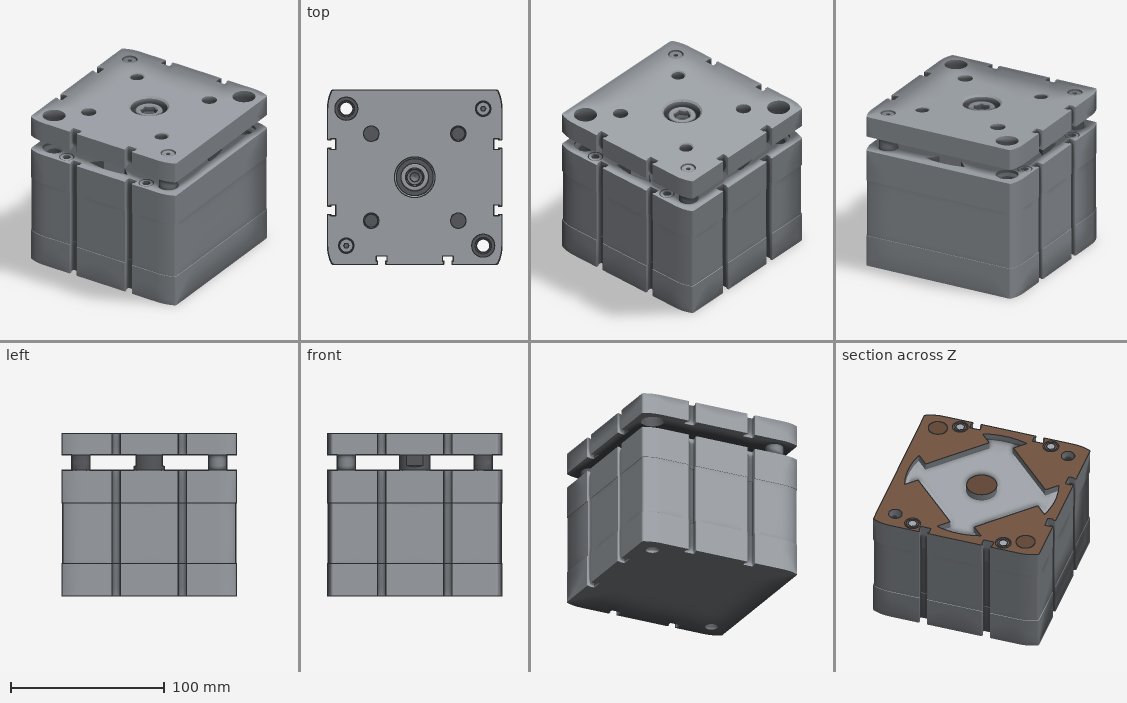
import cadquery as cq
import math

WIDTH = 113.5
HOUSING_HEIGHT = 81.8
CAP_HEIGHT = 21.3
BARREL_INSET = 0.4
PLATE_GAP = 10.0
PLATE_THICKNESS = 14.0
PLATE_BOTTOM = HOUSING_HEIGHT + PLATE_GAP
PLATE_TOP = PLATE_BOTTOM + PLATE_THICKNESS

CORNER_START = 44.5
CORNER_RADIUS = 27.0
CORNER_FILLET = 1.7

SLOT_OFFSET = 21.5
SLOT_DEPTH = 5.4
SLOT_WIDTH = 6.8
SLOT_NECK_WIDTH = 5.2
SLOT_NECK_DEPTH = 1.8
SLOT_MOUTH_CHAMFER = 0.25

CORNER_PITCH = 44.5
TAP_PITCH = 40.0 / math.sqrt(2)
ROD_CORNERS = [(CORNER_PITCH, CORNER_PITCH), (-CORNER_PITCH, -CORNER_PITCH),
               (CORNER_PITCH, -CORNER_PITCH), (-CORNER_PITCH, CORNER_PITCH)]
SCREWED_CORNERS = ROD_CORNERS[:2]
BOLT_CORNERS = ROD_CORNERS[2:]

PISTON_ROD_DIAMETER = 20.0
ROD_FLAT_WIDTH = 17.0
ROD_FLAT_BOTTOM = HOUSING_HEIGHT + 3.1
ROD_FLAT_RUNOUT_ANGLE = 30.0
GUIDE_ROD_DIAMETER = 12.0
GUIDE_MOUTH_DIAMETER = 14.0
ROD_BOTTOM = CAP_HEIGHT

ACCESS_DIAMETER = 15.0
PIN_HOLE_DIAMETER = 10.0
TAP_DIAMETER = 8.5
TAP_MOUTH_DIAMETER = 10.0

CENTER_RECESS_DIAMETER = 24.0
CENTER_RECESS_DEPTH = 12.0
CENTER_RECESS_CHAMFER = 1.2
CENTER_HEAD_DIAMETER = 18.0
CENTER_HEAD_FACE_DIAMETER = 15.8
CENTER_HEAD_SINK = 2.7
CENTER_HEX_SIZE = 10.0
CENTER_HEX_MOUTH_DIAMETER = 12.0
CENTER_HEX_DEPTH = 4.2
CENTER_DRILL_DIAMETER = 6.0
CENTER_DRILL_DEPTH = 0.5
DRILL_CONE_ANGLE = 30.0

SCREW_RECESS_DIAMETER = 10.0
SCREW_RECESS_DEPTH = 6.0
SCREW_HEAD_DIAMETER = 8.57
GUIDE_SCREW_SINK = 0.8
GUIDE_SCREW_HEX = 3.0
CAP_SCREW_X = 50.0
CAP_SCREW_Y = 31.0
CAP_SCREW_SINK = 0.2
CAP_SCREW_HEX = 5.0
HEX_DEPTH = 3.0
HEX_TURN = 30.0

TOP_RECESS_DIAMETER = 100.0
TOP_RECESS_DEPTH = 8.0
BOSS_WIDTH = 46.6
BOSS_INNER_RADIUS = 34.6
BOLT_DIAMETER = 8.5
BOLT_MOUTH_DIAMETER = 10.7
BOLT_SPOTFACE_DEPTH = 2.0


def cylinder(diameter, bottom, top, center=(0, 0)):
    """Upright cylinder between two heights."""
    return (cq.Workplane("XY", origin=(*center, bottom))
            .circle(diameter / 2).extrude(top - bottom))


def cone(bottom_diameter, top_diameter, bottom, top, center=(0, 0)):
    """Upright cone frustum between two heights."""
    solid = cq.Solid.makeCone(bottom_diameter / 2, top_diameter / 2, top - bottom,
                              pnt=cq.Vector(*center, bottom))
    return cq.Workplane(solid)


def hexagon(size, bottom, top, center=(0, 0)):
    """Hexagonal prism; size is measured across the flats."""
    return (cq.Workplane("XY", origin=(*center, bottom))
            .transformed(rotate=(0, 0, HEX_TURN))
            .polygon(6, size, circumscribed=True).extrude(top - bottom))


def countersink(mouth_diameter, hole_diameter, surface, center):
    """45 degree chamfer cutter for a hole mouth in an upward face."""
    depth = (mouth_diameter - hole_diameter) / 2
    return cone(hole_diameter, mouth_diameter, surface - depth, surface, center)


def slot_cutter(width, bottom, top):
    """Pair of T-slot cutters entering from the -Y face of a section of the given width."""
    face = -width / 2
    floor = face + SLOT_DEPTH
    neck_end = face + SLOT_NECK_DEPTH
    neck = SLOT_NECK_WIDTH / 2
    pocket = SLOT_WIDTH / 2
    mouth = neck + SLOT_MOUTH_CHAMFER
    cutter = (cq.Workplane("XY", origin=(SLOT_OFFSET, 0, bottom))
              .moveTo(mouth, face)
              .lineTo(neck, face + SLOT_MOUTH_CHAMFER)
              .lineTo(neck, neck_end)
              .lineTo(pocket, neck_end)
              .lineTo(pocket, floor)
              .lineTo(-pocket, floor)
              .lineTo(-pocket, neck_end)
              .lineTo(-neck, neck_end)
              .lineTo(-neck, face + SLOT_MOUTH_CHAMFER)
              .lineTo(-mouth, face)
              .close().extrude(top - bottom))
    return cutter.union(cutter.mirror("YZ"))


def slotted_section(width, bottom, top):
    """Square section with curved corners and T-slots on the -X, -Y and +X faces."""
    half = width / 2

    def bulge(rise):
        return CORNER_RADIUS - math.sqrt(CORNER_RADIUS**2 - rise**2)

    rise = half - CORNER_START
    end_x = half - bulge(rise)
    mid_x = half - bulge(rise / 2)
    mid_y = CORNER_START + rise / 2
    section = (cq.Workplane("XY", origin=(0, 0, bottom))
               .moveTo(half, -CORNER_START)
               .lineTo(half, CORNER_START)
               .threePointArc((mid_x, mid_y), (end_x, half))
               .lineTo(-end_x, half)
               .threePointArc((-mid_x, mid_y), (-half, CORNER_START))
               .lineTo(-half, -CORNER_START)
               .threePointArc((-mid_x, -mid_y), (-end_x, -half))
               .lineTo(end_x, -half)
               .threePointArc((mid_x, -mid_y), (half, -CORNER_START))
               .close().extrude(top - bottom)
               .edges("|Z").edges("<Y or >Y").fillet(CORNER_FILLET))
    for angle in (-90, 0, 90):
        cutter = slot_cutter(width, bottom, top)
        section = section.cut(cutter.rotate((0, 0, 0), (0, 0, 1), angle))
    return section


def add_socket_screw(body, center, surface, sink, hex_size):
    """Sink a socket head screw into an upward face of the body."""
    face = surface - sink
    floor = surface - SCREW_RECESS_DEPTH
    head = cylinder(SCREW_HEAD_DIAMETER, floor, face, center)
    head = head.cut(hexagon(hex_size, face - HEX_DEPTH, face, center))
    return body.cut(cylinder(SCREW_RECESS_DIAMETER, floor, surface, center)).union(head)


def top_recess():
    """Round recess in the housing top that leaves a boss standing at each corner."""
    floor = HOUSING_HEIGHT - TOP_RECESS_DEPTH
    recess = cylinder(TOP_RECESS_DIAMETER, floor, HOUSING_HEIGHT)
    boss_length = TOP_RECESS_DIAMETER / 2 - BOSS_INNER_RADIUS
    for angle in (45, 135, 225, 315):
        boss = (cq.Workplane("XY", origin=(0, 0, floor))
                .center(BOSS_INNER_RADIUS + boss_length / 2, 0)
                .rect(boss_length, BOSS_WIDTH).extrude(TOP_RECESS_DEPTH))
        recess = recess.cut(boss.rotate((0, 0, 0), (0, 0, 1), angle))
    return recess


def make_housing():
    """Two end caps with a slightly narrower barrel between them."""
    barrel_top = HOUSING_HEIGHT - CAP_HEIGHT
    body = slotted_section(WIDTH, 0, CAP_HEIGHT)
    body = body.union(slotted_section(WIDTH - 2 * BARREL_INSET, CAP_HEIGHT, barrel_top))
    body = body.union(slotted_section(WIDTH, barrel_top, HOUSING_HEIGHT))
    body = body.cut(top_recess())

    body = body.cut(cylinder(PISTON_ROD_DIAMETER, ROD_BOTTOM, HOUSING_HEIGHT))
    for corner in SCREWED_CORNERS:
        body = body.cut(cylinder(GUIDE_ROD_DIAMETER, ROD_BOTTOM, HOUSING_HEIGHT, corner))
        body = body.cut(countersink(GUIDE_MOUTH_DIAMETER, GUIDE_ROD_DIAMETER, HOUSING_HEIGHT, corner))

    spotface = HOUSING_HEIGHT - BOLT_SPOTFACE_DEPTH
    for corner in BOLT_CORNERS:
        body = body.cut(cylinder(BOLT_DIAMETER, 0, HOUSING_HEIGHT, corner))
        body = body.cut(cylinder(ACCESS_DIAMETER, spotface, HOUSING_HEIGHT, corner))
        body = body.cut(countersink(BOLT_MOUTH_DIAMETER, BOLT_DIAMETER, spotface, corner))

    for x in (-CAP_SCREW_X, CAP_SCREW_X):
        for y in (-CAP_SCREW_Y, CAP_SCREW_Y):
            body = add_socket_screw(body, (x, y), HOUSING_HEIGHT, CAP_SCREW_SINK, CAP_SCREW_HEX)
    return body


def make_piston_rod():
    """Round rod with two wrench flats facing -Y and +Y, each ending in a sloped run-out."""
    rod = cylinder(PISTON_ROD_DIAMETER, ROD_BOTTOM, PLATE_BOTTOM)
    radius = PISTON_ROD_DIAMETER / 2
    flat = ROD_FLAT_WIDTH / 2
    runout = (radius - flat) * math.tan(math.radians(ROD_FLAT_RUNOUT_ANGLE))
    cutter = (cq.Workplane("YZ")
              .moveTo(flat, PLATE_BOTTOM)
              .lineTo(flat, ROD_FLAT_BOTTOM)
              .lineTo(radius, ROD_FLAT_BOTTOM - runout)
              .lineTo(radius, PLATE_BOTTOM)
              .close().extrude(radius, both=True))
    return rod.cut(cutter).cut(cutter.mirror("XZ"))


def center_screw_head():
    """Head of the screw that holds the plate on the piston rod."""
    face = PLATE_TOP - CENTER_HEAD_SINK
    rounding = (CENTER_HEAD_DIAMETER - CENTER_HEAD_FACE_DIAMETER) / 2
    head = (cylinder(CENTER_HEAD_DIAMETER, PLATE_TOP - CENTER_RECESS_DEPTH, face)
            .faces(">Z").edges().fillet(rounding))

    hex_floor = face - CENTER_HEX_DEPTH
    slope = math.tan(math.radians(DRILL_CONE_ANGLE))
    funnel_depth = (CENTER_HEX_SIZE - CENTER_DRILL_DIAMETER) / 2 * slope
    tip_depth = CENTER_DRILL_DIAMETER / 2 * slope
    funnel_floor = hex_floor - funnel_depth
    head = head.cut(hexagon(CENTER_HEX_SIZE, hex_floor, face))
    head = head.cut(countersink(CENTER_HEX_MOUTH_DIAMETER, CENTER_HEX_SIZE, face, (0, 0)))
    head = head.cut(cone(CENTER_DRILL_DIAMETER, CENTER_HEX_SIZE, funnel_floor, hex_floor))
    drill_floor = funnel_floor - CENTER_DRILL_DEPTH
    head = head.cut(cylinder(CENTER_DRILL_DIAMETER, drill_floor, funnel_floor))
    return head.cut(cone(0, CENTER_DRILL_DIAMETER, drill_floor - tip_depth, drill_floor))


def make_slide():
    """Front plate with its piston rod, guide rods and screws."""
    plate = slotted_section(WIDTH, PLATE_BOTTOM, PLATE_TOP)
    for corner in BOLT_CORNERS:
        plate = plate.cut(cylinder(ACCESS_DIAMETER, PLATE_BOTTOM, PLATE_TOP, corner))
    for side in (-1, 1):
        tap = (side * TAP_PITCH, side * TAP_PITCH)
        pin = (side * TAP_PITCH, -side * TAP_PITCH)
        plate = plate.cut(cylinder(TAP_DIAMETER, PLATE_BOTTOM, PLATE_TOP, tap))
        plate = plate.cut(countersink(TAP_MOUTH_DIAMETER, TAP_DIAMETER, PLATE_TOP, tap))
        plate = plate.cut(cylinder(PIN_HOLE_DIAMETER, PLATE_BOTTOM, PLATE_TOP, pin))

    recess_mouth = CENTER_RECESS_DIAMETER + 2 * CENTER_RECESS_CHAMFER
    plate = plate.cut(cylinder(CENTER_RECESS_DIAMETER, PLATE_TOP - CENTER_RECESS_DEPTH, PLATE_TOP))
    plate = plate.cut(countersink(recess_mouth, CENTER_RECESS_DIAMETER, PLATE_TOP, (0, 0)))

    slide = plate.union(center_screw_head()).union(make_piston_rod())
    for corner in SCREWED_CORNERS:
        slide = slide.union(cylinder(GUIDE_ROD_DIAMETER, ROD_BOTTOM, PLATE_BOTTOM, corner))
        slide = add_socket_screw(slide, corner, PLATE_TOP, GUIDE_SCREW_SINK, GUIDE_SCREW_HEX)
    return slide


housing = make_housing()
slide = make_slide()
result = cq.Compound.makeCompound([housing.val(), slide.val()])